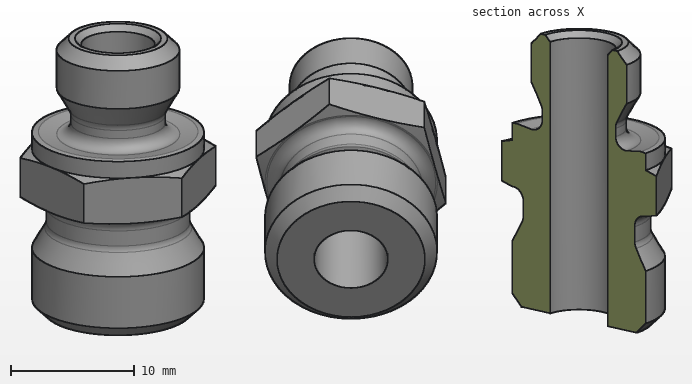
import cadquery as cq
import math

total_height = 23.5
hex_across_flats = 14.0
hex_bottom = 10.0
hex_top = 13.95
hex_chamfer_angle = math.radians(15)

lower_radius = hex_across_flats / 2
lower_neck_radius = 11.7 / 2
lower_shoulder = 5.43

upper_radius = 10.0 / 2
upper_neck_radius = 7.7 / 2
upper_shoulder = 19.22

end_chamfer = 0.99
relief_radius = 1.0
relief_angle = math.radians(30)

collar_radius = hex_across_flats / 2
collar_edge_height = 15.4
rim_radius = 6.49
rim_height = 15.46
dish_angle = math.radians(8)

bore_radius = 6.0 / 2
bore_mouth_radius = 7.0 / 2


def arc_point(center, angle):
    """Point on a relief arc; the angle is measured from the outward radial direction."""
    return (
        center[0] + relief_radius * math.cos(angle),
        center[1] + relief_radius * math.sin(angle),
    )


def runout_height(outer_radius, neck_radius):
    """Axial length of the runout cone between a thread and its neck arc."""
    arc_width = relief_radius * (1 - math.cos(relief_angle))
    return (outer_radius - neck_radius - arc_width) / math.tan(relief_angle)


def make_lower_end():
    arc_start_height = lower_shoulder + runout_height(lower_radius, lower_neck_radius)
    runout_center = (
        lower_neck_radius + relief_radius,
        arc_start_height + relief_radius * math.sin(relief_angle),
    )
    fillet_center = (lower_neck_radius + relief_radius, hex_bottom - relief_radius)
    return (
        cq.Workplane("XZ")
        .moveTo(0, 0)
        .lineTo(lower_radius - end_chamfer, 0)
        .lineTo(lower_radius, end_chamfer)
        .lineTo(lower_radius, lower_shoulder)
        .lineTo(*arc_point(runout_center, math.pi + relief_angle))
        .threePointArc(
            arc_point(runout_center, math.pi + relief_angle / 2),
            arc_point(runout_center, math.pi),
        )
        .lineTo(*arc_point(fillet_center, math.pi))
        .threePointArc(
            arc_point(fillet_center, 0.75 * math.pi),
            arc_point(fillet_center, 0.5 * math.pi),
        )
        .lineTo(0, hex_bottom)
        .close()
        .revolve(360, (0, 0, 0), (0, 1, 0))
    )


def make_hexagon():
    corner_radius = hex_across_flats / math.sqrt(3)
    flat_radius = hex_across_flats / 2
    corner_drop = (corner_radius - flat_radius) * math.tan(hex_chamfer_angle)
    prism = (
        cq.Workplane("XY")
        .workplane(offset=hex_bottom)
        .polygon(6, 2 * corner_radius)
        .extrude(hex_top - hex_bottom)
        .rotate((0, 0, 0), (0, 0, 1), 30)
    )
    envelope = (
        cq.Workplane("XZ")
        .moveTo(0, hex_bottom)
        .lineTo(flat_radius, hex_bottom)
        .lineTo(corner_radius, hex_bottom + corner_drop)
        .lineTo(corner_radius, hex_top - corner_drop)
        .lineTo(flat_radius, hex_top)
        .lineTo(0, hex_top)
        .close()
        .revolve(360, (0, 0, 0), (0, 1, 0))
    )
    return prism.intersect(envelope)


def make_upper_end():
    center_radius = upper_neck_radius + relief_radius
    dish_end_angle = 1.5 * math.pi + dish_angle
    dish_end_radius = center_radius + relief_radius * math.sin(dish_angle)
    dish_depth = (rim_radius - dish_end_radius) * math.tan(dish_angle)
    fillet_center = (
        center_radius,
        rim_height - dish_depth + relief_radius * math.cos(dish_angle),
    )
    runout_center = (
        center_radius,
        upper_shoulder
        - runout_height(upper_radius, upper_neck_radius)
        - relief_radius * math.sin(relief_angle),
    )
    return (
        cq.Workplane("XZ")
        .moveTo(0, hex_top)
        .lineTo(collar_radius, hex_top)
        .lineTo(collar_radius, collar_edge_height)
        .lineTo(rim_radius, rim_height)
        .lineTo(*arc_point(fillet_center, dish_end_angle))
        .threePointArc(
            arc_point(fillet_center, (math.pi + dish_end_angle) / 2),
            arc_point(fillet_center, math.pi),
        )
        .lineTo(*arc_point(runout_center, math.pi))
        .threePointArc(
            arc_point(runout_center, math.pi - relief_angle / 2),
            arc_point(runout_center, math.pi - relief_angle),
        )
        .lineTo(upper_radius, upper_shoulder)
        .lineTo(upper_radius, total_height - end_chamfer)
        .lineTo(upper_radius - end_chamfer, total_height)
        .lineTo(0, total_height)
        .close()
        .revolve(360, (0, 0, 0), (0, 1, 0))
    )


def make_bore():
    mouth_depth = bore_mouth_radius - bore_radius
    return (
        cq.Workplane("XZ")
        .moveTo(0, 0)
        .lineTo(bore_radius, 0)
        .lineTo(bore_radius, total_height - mouth_depth)
        .lineTo(bore_mouth_radius, total_height)
        .lineTo(0, total_height)
        .close()
        .revolve(360, (0, 0, 0), (0, 1, 0))
    )


body = make_lower_end().union(make_hexagon()).union(make_upper_end())
result = body.cut(make_bore())